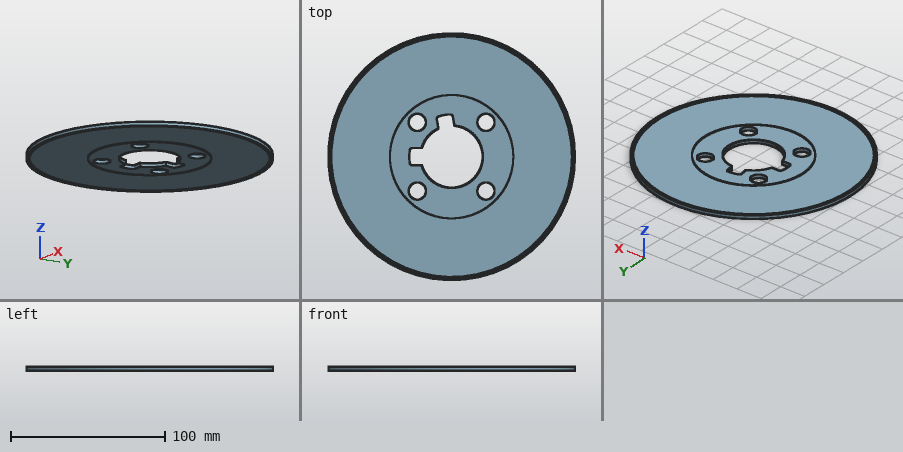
import cadquery as cq

outer_diameter = 160.0
overall_thickness = 2.7

hub_diameter = 80.0
web_diameter = 158.0
face_step = 0.4
web_thickness = overall_thickness - 2 * face_step

rim_inner_diameter = 155.8
rim_edge_radius = 0.3

bore_diameter = 40.0
bore_chamfer = 0.3
bolt_hole_diameter = 11.0
bolt_spacing = 44.5
slot_reach = 27.4
side_slot_width = 11.0
tilted_slot_width = 10.4
side_slot_angle = 180.0
tilted_slot_angle = 100.0
slot_corner_radius = 1.6


def disc(diameter, thickness, base=0.0):
    """Plain round plate centred on the Z axis."""
    return cq.Workplane("XY").workplane(offset=base).circle(diameter / 2).extrude(thickness)


def make_slot(width, angle):
    """Cutter running outward from the axis, with rounded corners and an end arc around the axis."""
    bar = cq.Workplane("XY").rect(slot_reach, width).extrude(overall_thickness)
    bar = bar.translate((slot_reach / 2, 0, 0))
    bar = bar.intersect(disc(2 * slot_reach, overall_thickness))
    outer_corners = cq.selectors.BoxSelector(
        (slot_reach / 2, -width, 0), (2 * slot_reach, width, overall_thickness)
    )
    bar = bar.edges("|Z").edges(outer_corners).fillet(slot_corner_radius)
    return bar.rotate((0, 0, 0), (0, 0, 1), angle)


def make_bolt_holes():
    """Four through-hole cutters on a square pattern."""
    return (
        cq.Workplane("XY")
        .rect(bolt_spacing, bolt_spacing, forConstruction=True)
        .vertices()
        .circle(bolt_hole_diameter / 2)
        .extrude(overall_thickness)
    )


def make_bore():
    """Bore cutter that widens at the top to chamfer the edge."""
    bore = disc(bore_diameter, overall_thickness)
    chamfer = cq.Solid.makeCone(
        bore_diameter / 2,
        bore_diameter / 2 + bore_chamfer,
        bore_chamfer,
        pnt=cq.Vector(0, 0, overall_thickness - bore_chamfer),
    )
    return bore.union(cq.Workplane(obj=chamfer))


def make_wheel():
    """Thin web and thicker hub in one piece, with the bore, two slots and four bolt holes."""
    wheel = disc(web_diameter, web_thickness, face_step).union(disc(hub_diameter, overall_thickness))
    wheel = wheel.cut(make_bore())
    wheel = wheel.cut(make_slot(side_slot_width, side_slot_angle))
    wheel = wheel.cut(make_slot(tilted_slot_width, tilted_slot_angle))
    return wheel.cut(make_bolt_holes())


def make_rim():
    """Ring of U section that grips the web edge, with rounded outer edges."""
    rim = disc(outer_diameter, overall_thickness).edges().fillet(rim_edge_radius)
    rim = rim.cut(disc(rim_inner_diameter, overall_thickness))
    return rim.cut(disc(web_diameter, web_thickness, face_step))


wheel = make_wheel()
rim = make_rim()
result = cq.Compound.makeCompound([wheel.val(), rim.val()])